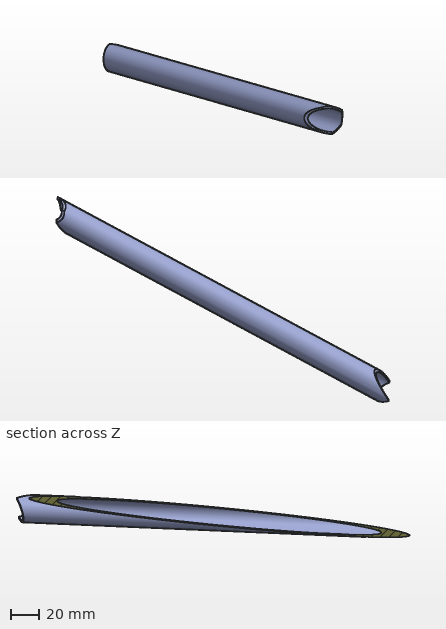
import cadquery as cq

outer_diameter = 20
wall = 1.5
axis_point = cq.Vector(0, -1.69, 0.32)
axis_direction = cq.Vector(1, -0.5714, 0.0845)
blank_half_length = 200

length_x = 259.48
width_y = 144.45
left_x = -length_x / 2
right_x = length_x / 2
front_y = -width_y / 2
back_y = width_y / 2

notch_radius = 33
notch_depth = 1.5
left_notch_z = -10.2
right_notch_z = 9.7

tip = (right_x, -68, 19)

trimming_planes = [
    ((0, back_y, 0), (0, 1, 0)),
    ((0, front_y, 0), (0, -1, 0)),
    ((left_x, back_y, -0.5), (-1, 0, -0.08)),
    (tip, (1, 0.3, -0.12)),
    ((128.7, -64, 8.5), (1, 0, -0.68)),
    (tip, (0.27, -0.96, 0.12)),
]

cutter_size = 200


def make_tube():
    start = axis_point - axis_direction * blank_half_length
    length = 2 * blank_half_length * axis_direction.Length
    plane = cq.Plane(origin=start.toTuple(), normal=axis_direction.toTuple())
    outer_radius = outer_diameter / 2
    profile = cq.Workplane(plane).circle(outer_radius).circle(outer_radius - wall)
    return profile.extrude(length)


def block_beyond(point, normal):
    """Block that fills the space on the outward side of a trimming plane."""
    plane = cq.Plane(origin=point, normal=normal)
    return cq.Workplane(plane).rect(2 * cutter_size, 2 * cutter_size).extrude(cutter_size)


def notch_cylinder(face_y, outward, end_x, axis_z):
    """Cylinder along X that sinks notch_depth into the trimmed face at face_y."""
    axis_y = face_y + outward * (notch_radius - notch_depth)
    start = (end_x - cutter_size / 2, axis_y, axis_z)
    plane = cq.Plane(origin=start, normal=(1, 0, 0))
    return cq.Workplane(plane).circle(notch_radius).extrude(cutter_size)


result = make_tube()
for plane_point, plane_normal in trimming_planes:
    result = result.cut(block_beyond(plane_point, plane_normal))
result = result.cut(notch_cylinder(back_y, 1, left_x, left_notch_z))
result = result.cut(notch_cylinder(front_y, -1, right_x, right_notch_z))